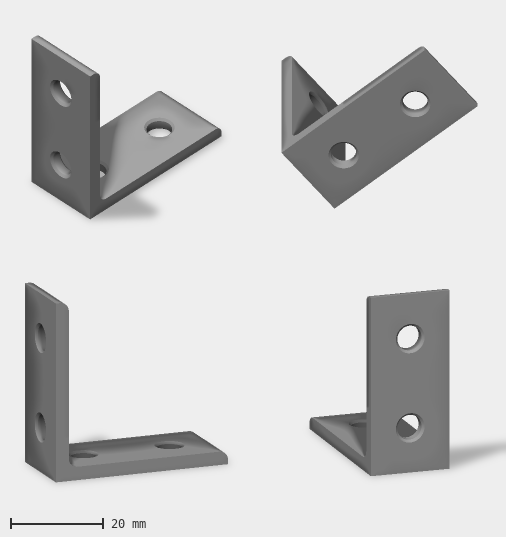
import cadquery as cq

width = 18.0
leg_length = 40.0
thickness = 3.0
edge_radius = 2.0
hole_diameter = 5.5
countersink_diameter = 6.55
hole_positions = (leg_length / 4, 3 * leg_length / 4)
countersink_depth = (countersink_diameter - hole_diameter) / 2


def angle_profile():
    """L section in the YZ plane with its outer corner at the origin."""
    return (
        cq.Workplane("YZ")
        .polyline([
            (0, 0),
            (leg_length, 0),
            (leg_length, thickness),
            (thickness, thickness),
            (thickness, leg_length),
            (0, leg_length),
        ])
        .close()
    )


def countersunk_hole():
    """Cutter along +Z through one leg, chamfered at both faces."""
    shaft = cq.Workplane("XY").circle(hole_diameter / 2).extrude(thickness)
    countersink = (
        cq.Workplane("XY")
        .circle(countersink_diameter / 2)
        .workplane(offset=countersink_depth)
        .circle(hole_diameter / 2)
        .loft()
    )
    opposite = countersink.mirror("XY").translate((0, 0, thickness))
    return shaft.union(countersink).union(opposite)


bracket = angle_profile().extrude(width / 2, both=True)

inner_edges = [(thickness, thickness), (leg_length, thickness), (thickness, leg_length)]
for y, z in inner_edges:
    bracket = bracket.edges(cq.selectors.NearestToPointSelector((0, y, z))).fillet(edge_radius)

flat_cutter = countersunk_hole()
upright_cutter = flat_cutter.rotate((0, 0, 0), (1, 0, 0), -90)
for position in hole_positions:
    bracket = bracket.cut(flat_cutter.translate((0, position, 0)))
    bracket = bracket.cut(upright_cutter.translate((0, 0, position)))

result = bracket